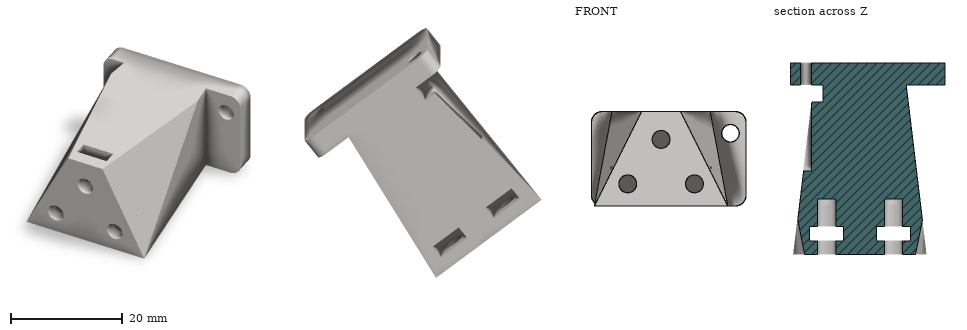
import cadquery as cq

plate_width = 27.8
height = 17.0
length = 34.42
plate_thickness = 4.0
corner_radius = 2.0
front_y = -length / 2
back_y = length / 2
plate_front_y = back_y - plate_thickness

body_x = -1.38
front_half_width = 11.98
rear_half_width = 8.33
top_front_half_width = 3.48
bevel_length = 26.45

mount_hole_diameter = 3.1
mount_hole_x = 11.1
upper_mount_z = 13.08
lower_mount_z = 2.75

notch_length = 3.0
notch_height = 5.8
notch_floor_x = -8.1
channel_end_y = -2.17

bolt_diameter = 3.2
bolt_depth = 9.98
bolt_spacing = 11.98
lower_bolt_z = 4.0
upper_bolt_z = 11.98
nut_width = 6.02
nut_slot_thickness = 2.5
nut_slot_front_y = front_y + 2.48

taper_slope = (front_half_width - rear_half_width) / (length - plate_thickness)
cut_margin = 3.45


def box_between(low, high):
    """Axis-aligned box between two opposite corners."""
    sizes = [b - a for a, b in zip(low, high)]
    return cq.Workplane("XY").box(*sizes, centered=False).translate(low)


def rod_along_y(diameter, x, z, start_y, end_y):
    """Cylinder parallel to Y between two Y positions."""
    axis = cq.Vector(0, 1, 0)
    start = cq.Vector(x, start_y, z)
    return cq.Workplane(cq.Solid.makeCylinder(diameter / 2, end_y - start_y, start, axis))


def make_plate():
    low = (-plate_width / 2, plate_front_y, 0)
    high = (plate_width / 2, back_y, height)
    return box_between(low, high).edges("|Y").fillet(corner_radius)


def bevel_wedge(side):
    """Tetrahedron removed from one upper side of the body (side is -1 or 1)."""
    bevel_end_half_width = front_half_width - taper_slope * bevel_length
    bottom = cq.Vector(body_x + side * front_half_width, front_y, 0)
    outer = cq.Vector(body_x + side * front_half_width, front_y, height)
    inner = cq.Vector(body_x + side * top_front_half_width, front_y, height)
    rear = cq.Vector(body_x + side * bevel_end_half_width, front_y + bevel_length, height)
    triangles = [
        (bottom, outer, inner),
        (bottom, outer, rear),
        (bottom, inner, rear),
        (outer, inner, rear),
    ]
    faces = [cq.Face.makeFromWires(cq.Wire.makePolygon(t, close=True)) for t in triangles]
    return cq.Workplane(cq.Solid.makeSolid(cq.Shell.makeShell(faces)))


def make_body():
    outline = [
        (body_x - front_half_width, front_y),
        (body_x + front_half_width, front_y),
        (body_x + rear_half_width, plate_front_y),
        (body_x - rear_half_width, plate_front_y),
    ]
    body = cq.Workplane("XY").polyline(outline).close().extrude(height)
    for side in (-1, 1):
        body = body.cut(bevel_wedge(side))
    return body


def cut_screw_clearance(body):
    """Notch for the screw head and a round-bottomed channel leading to it."""
    outside_x = -plate_width / 2
    notch_front_y = plate_front_y - notch_length
    notch = box_between((outside_x, notch_front_y, 0), (notch_floor_x, plate_front_y, notch_height))
    radius = mount_hole_diameter / 2
    channel = rod_along_y(mount_hole_diameter, -mount_hole_x, lower_mount_z, channel_end_y, plate_front_y)
    channel_mouth = box_between(
        (outside_x, channel_end_y, lower_mount_z - radius),
        (-mount_hole_x, plate_front_y, lower_mount_z + radius),
    )
    return body.cut(notch).cut(channel).cut(channel_mouth)


def cut_mount_holes(part):
    for x, z in ((mount_hole_x, upper_mount_z), (-mount_hole_x, lower_mount_z)):
        part = part.cut(rod_along_y(mount_hole_diameter, x, z, plate_front_y, back_y))
    return part


def cut_bolt(part, x, z, slot_bottom, slot_top):
    """Blind bolt hole from the front face, crossed by its nut slot."""
    part = part.cut(rod_along_y(bolt_diameter, x, z, front_y, front_y + bolt_depth))
    slot = box_between(
        (x - nut_width / 2, nut_slot_front_y, slot_bottom),
        (x + nut_width / 2, nut_slot_front_y + nut_slot_thickness, slot_top),
    )
    return part.cut(slot)


result = make_plate().union(cut_screw_clearance(make_body()))
result = cut_mount_holes(result)

upper_slot_bottom = upper_bolt_z - nut_width / 2
lower_slot_top = lower_bolt_z + nut_width / 2
result = cut_bolt(result, body_x, upper_bolt_z, upper_slot_bottom, height + cut_margin)
for side in (-1, 1):
    bolt_x = body_x + side * bolt_spacing / 2
    result = cut_bolt(result, bolt_x, lower_bolt_z, -cut_margin, lower_slot_top)